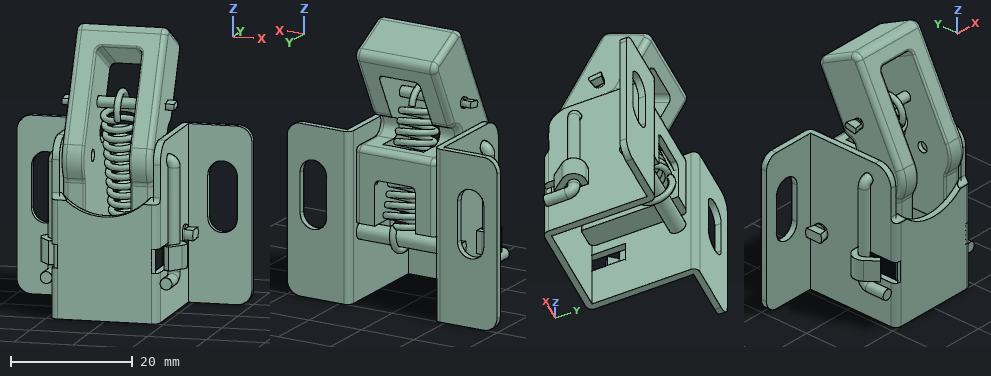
import cadquery as cq
import math


sheet = 1.2
flange_span = 40.0
housing_depth = 20.2
housing_height = 30.0
inner_width = 16.0
outer_half = inner_width / 2 + sheet
bend_radius = sheet
rear_bend_radius = 1.15
flange_corner_radius = 2.5
wall_corner_radius = 3.5
front_height = 20.0
front_step_radius = 1.0
scoop_radius = 10.0
scoop_depth = 2.45
slot_spacing = 30.0
slot_length = 12.0
slot_width = 5.0
slot_height = 18.0
plate_inner_y = sheet - housing_depth

wire_radius = 1.0
wire_bend = 1.2
wire_x = outer_half + wire_radius
wire_tip_x = 5.0
wire_foot_y = -19.1
wire_foot_z = 6.65
pivot_y = -14.0
pivot_z = 26.5

clip_bottom = 8.5
clip_height = 4.0
clip_outer_radius = wire_radius + sheet
clip_lead_angle = 38.5
clip_lead_length = 2.8
clip_window_end_y = -20.0

lever_tilt = 27.0
lever_width = 15.5
lever_x = (inner_width - lever_width) / 2
nose_radius = 6.0
arm_back = 4.1
arm_length = 21.12
arm_corner_radius = 1.5
lever_edge_radius = 1.0
lever_bottom = 14.0
jaw_top = 27.4
jaw_back_y = -1.4
jaw_tip_radius = 1.1
mouth_radius = 1.8
mouth_y = -7.5
lip_radius = 1.5
neck_radius = 1.5
lever_slot_width = 7.75
lever_slot_end = 17.0
lever_slot_corner = 1.0
lever_slot_edge = 0.35
web_bottom = 22.0
cut_margin = 2.0

lever_pin_y = -10.4
lever_pin_z = 34.85
lever_pin_radius = 0.95
lever_pin_shank = 15.6
lever_pin_length = 19.1
lever_pin_tail_radius = 1.2
lever_pin_tail_thickness = 1.1
lever_pin_roll = 10.0
anchor_pin_y = -3.55
anchor_pin_z = 12.05
anchor_pin_radius = 1.5
anchor_pin_shank = 19.0
anchor_pin_length = 22.1
anchor_pin_tail_radius = 1.77
anchor_pin_tail_thickness = 1.75

spring_wire_radius = 0.55
coil_radius = 3.05
coil_turns = 11.5
coil_end_gap = 1.84
lever_hook_reach = 1.75
anchor_hook_reach = 2.1
spring_web_gap = 0.3
spring_rise = lever_pin_z - anchor_pin_z
spring_lean = anchor_pin_y - lever_pin_y
spring_tilt = math.degrees(math.atan2(spring_lean, spring_rise))
spring_span = math.hypot(spring_lean, spring_rise)


def x_cylinder(radius, x_start, x_end, y, z):
    """Cylinder along X between two X positions."""
    plane = cq.Plane(origin=(x_start, y, z), xDir=(0, 1, 0), normal=(1, 0, 0))
    return cq.Workplane(plane).circle(radius).extrude(x_end - x_start)


def x_prism(x_start, x_end):
    """Sketch plane with axes Y and Z at the first X position, and the length to extrude from it."""
    return cq.Workplane("YZ", origin=(x_start, 0, 0)), x_end - x_start


def swaged_pin(radius, shank, length, tail_radius, tail_thickness, roll):
    """Round pin along X, centred on the origin, with both ends squeezed into flared flat tails."""
    pin = x_cylinder(radius, -shank / 2, shank / 2, 0, 0)
    tail_length = (length - shank) / 2
    slab = cq.Workplane("XY").box(length, 4 * tail_radius, tail_thickness)
    for side in (-1, 1):
        neck = cq.Plane(origin=(side * shank / 2, 0, 0), xDir=(0, 1, 0), normal=(side, 0, 0))
        cone = (
            cq.Workplane(neck)
            .circle(radius)
            .workplane(offset=tail_length)
            .circle(tail_radius)
            .loft()
        )
        pin = pin.union(cone.intersect(slab))
    return pin.rotate((0, 0, 0), (1, 0, 0), roll)


def sheet_block(width, depth):
    """Full-height block centred in X, whose rear face is at Y = 0."""
    block = cq.Workplane("XY").box(width, depth, housing_height, centered=(True, False, False))
    return block.translate((0, -depth, 0))


def bent_sheet():
    """Hat section extruded upwards: front plate, two walls and two rear flanges."""
    channel = sheet_block(2 * outer_half, housing_depth)
    channel = channel.edges("|Z and <Y").fillet(bend_radius)
    flanges = sheet_block(flange_span, sheet).edges("|Y").fillet(flange_corner_radius)
    cavity = sheet_block(inner_width, -plate_inner_y)
    body = channel.union(flanges).cut(cavity)
    for side in (-1, 1):
        rear_bend = cq.selectors.NearestToPointSelector(
            (side * inner_width / 2, 0, housing_height / 2)
        )
        body = body.edges("|Z").edges(rear_bend).fillet(rear_bend_radius)
    return body


def front_opening():
    """Removes the sheet in front of the walls above the front plate, with rounded transitions."""
    plane, width = x_prism(-outer_half - cut_margin, outer_half + cut_margin)
    front = -housing_depth - cut_margin
    step = (
        plane.moveTo(front, front_height)
        .lineTo(plate_inner_y - front_step_radius, front_height)
        .radiusArc((plate_inner_y, front_height + front_step_radius), -front_step_radius)
        .lineTo(plate_inner_y, housing_height - wall_corner_radius)
        .radiusArc((plate_inner_y + wall_corner_radius, housing_height), wall_corner_radius)
        .lineTo(plate_inner_y + wall_corner_radius, housing_height + cut_margin)
        .lineTo(front, housing_height + cut_margin)
        .close()
        .extrude(width)
    )
    scoop = (
        cq.Workplane("XZ", origin=(0, plate_inner_y, front_height - scoop_depth + scoop_radius))
        .circle(scoop_radius)
        .extrude(sheet)
    )
    return step.union(scoop)


def clip(side):
    """Strip that leaves the wall, wraps round the wire and leads back towards the wall."""
    angle = math.radians(clip_lead_angle)
    outward = (math.cos(angle), -math.sin(angle))
    along = (-math.sin(angle), -math.cos(angle))

    def wrap_point(radius, run=0.0):
        return (
            wire_x + radius * outward[0] + run * along[0],
            pivot_y + radius * outward[1] + run * along[1],
        )

    def mid_point(radius):
        middle = (math.pi / 2 - angle) / 2
        return (wire_x + radius * math.cos(middle), pivot_y + radius * math.sin(middle))

    root_x = inner_width / 2
    strip = (
        cq.Workplane("XY", origin=(0, 0, clip_bottom))
        .moveTo(root_x, pivot_y + clip_outer_radius)
        .lineTo(wire_x, pivot_y + clip_outer_radius)
        .threePointArc(mid_point(clip_outer_radius), wrap_point(clip_outer_radius))
        .lineTo(*wrap_point(clip_outer_radius, clip_lead_length))
        .lineTo(*wrap_point(wire_radius, clip_lead_length))
        .lineTo(*wrap_point(wire_radius))
        .threePointArc(mid_point(wire_radius), (wire_x, pivot_y + wire_radius))
        .lineTo(root_x, pivot_y + wire_radius)
        .close()
        .extrude(clip_height)
    )
    return strip if side > 0 else strip.mirror("YZ")


def clip_window(side):
    """Opening that the clip strip leaves in the wall and the front bend."""
    length = pivot_y + wire_radius - clip_window_end_y
    return cq.Workplane("XY").box(sheet, length, clip_height).translate(
        (
            side * (outer_half - sheet / 2),
            clip_window_end_y + length / 2,
            clip_bottom + clip_height / 2,
        )
    )


def make_housing():
    """Sheet-metal housing together with the anchor pin swaged into its walls."""
    body = bent_sheet().cut(front_opening())
    slots = (
        cq.Workplane("XZ", origin=(0, 0, slot_height))
        .pushPoints([(-slot_spacing / 2, 0), (slot_spacing / 2, 0)])
        .slot2D(slot_length, slot_width, 90)
        .extrude(sheet)
    )
    body = body.cut(slots)
    for side in (-1, 1):
        body = body.cut(clip_window(side)).union(clip(side)).cut(make_pivot_wire(side))
    anchor_pin = swaged_pin(
        anchor_pin_radius,
        anchor_pin_shank,
        anchor_pin_length,
        anchor_pin_tail_radius,
        anchor_pin_tail_thickness,
        0,
    )
    return body.union(anchor_pin.translate((0, anchor_pin_y, anchor_pin_z)))


def arm_point(across, along):
    """(Y, Z) of a point of the tilted arm, measured from the pivot across and along the arm."""
    tilt = math.radians(lever_tilt)
    return (
        pivot_y + across * math.cos(tilt) + along * math.sin(tilt),
        pivot_z - across * math.sin(tilt) + along * math.cos(tilt),
    )


def lever_blank():
    """Tilted arm, round nose about the pivot, upright leg and rear jaw, with rounded edges."""
    mouth_z = jaw_top + mouth_radius
    nose_drop = math.sqrt(nose_radius**2 - (plate_inner_y - pivot_y) ** 2)
    plane, width = x_prism(lever_x - lever_width / 2, lever_x + lever_width / 2)
    tilt = math.radians(lever_tilt)
    mouth_across = (mouth_y - pivot_y) * math.cos(tilt) - (mouth_z - pivot_z) * math.sin(tilt)
    mouth_along = (mouth_y - pivot_y) * math.sin(tilt) + (mouth_z - pivot_z) * math.cos(tilt)
    lip_along = mouth_along + math.sqrt(mouth_radius**2 - (arm_back - mouth_across) ** 2)
    blank = (
        plane.moveTo(*arm_point(-nose_radius, 0))
        .lineTo(*arm_point(-nose_radius, arm_length))
        .lineTo(*arm_point(arm_back, arm_length))
        .lineTo(*arm_point(arm_back, lip_along))
        .threePointArc(
            arm_point(mouth_across - mouth_radius, mouth_along), (mouth_y, jaw_top)
        )
        .lineTo(jaw_back_y, jaw_top)
        .lineTo(jaw_back_y, lever_bottom)
        .lineTo(plate_inner_y, lever_bottom)
        .lineTo(plate_inner_y, pivot_z - nose_drop)
        .threePointArc((pivot_y - nose_radius, pivot_z), arm_point(-nose_radius, 0))
        .close()
        .extrude(width)
    )

    def round_corner(body, point, radius):
        near = cq.selectors.NearestToPointSelector((lever_x, *point))
        return body.edges("|X").edges(near).fillet(radius)

    blank = round_corner(blank, arm_point(-nose_radius, arm_length), arm_corner_radius)
    blank = round_corner(blank, arm_point(arm_back, arm_length), arm_corner_radius)
    blank = round_corner(blank, arm_point(arm_back, lip_along), lip_radius)
    blank = round_corner(blank, (jaw_back_y, jaw_top), jaw_tip_radius)
    blank = round_corner(blank, (plate_inner_y, pivot_z - nose_drop), neck_radius)
    return blank.faces("<X or >X").edges("not <Z").fillet(lever_edge_radius)


def lever_slot():
    """Slot between the two arms; a web behind the spring is left standing under the mouth."""
    web_offset = (coil_radius + spring_wire_radius + spring_web_gap) / math.cos(
        math.radians(spring_tilt)
    )

    def web_y(z):
        axis_y = anchor_pin_y - (z - anchor_pin_z) * spring_lean / spring_rise
        return axis_y + web_offset

    floor = lever_bottom - cut_margin
    front = -housing_depth - cut_margin
    above_jaw = jaw_top + cut_margin / 2
    plane, width = x_prism(lever_x - lever_slot_width / 2, lever_x + lever_slot_width / 2)
    slot = (
        plane.moveTo(*arm_point(-nose_radius - cut_margin, lever_slot_end))
        .lineTo(*arm_point(arm_back + cut_margin, lever_slot_end))
        .lineTo(web_y(above_jaw), above_jaw)
        .lineTo(web_y(floor), floor)
        .lineTo(front, floor)
        .lineTo(front, pivot_z)
        .close()
        .extrude(width)
    )
    end_face = cq.selectors.NearestToPointSelector((lever_x, *arm_point(0, lever_slot_end)))
    slot = slot.faces(end_face).edges("not |X").fillet(lever_slot_corner)
    window_height = web_bottom - floor
    window = (
        cq.Workplane("XY")
        .box(lever_slot_width, -pivot_y, window_height)
        .edges("|Y and >Z")
        .fillet(lever_slot_corner)
        .translate((lever_x, pivot_y / 2, floor + window_height / 2))
    )
    return slot, window


def make_lever():
    slot, window = lever_slot()
    body = lever_blank().cut(slot)
    mouth_front = cq.selectors.NearestToPointSelector(
        (lever_x, *arm_point(-nose_radius, lever_slot_end))
    )
    body = body.edges(mouth_front).fillet(lever_slot_edge)
    body = body.cut(window)
    reach = inner_width / 2
    body = body.cut(x_cylinder(wire_radius, -reach, reach, pivot_y, pivot_z))
    return body.cut(make_lever_pin())


def make_lever_pin():
    pin = swaged_pin(
        lever_pin_radius,
        lever_pin_shank,
        lever_pin_length,
        lever_pin_tail_radius,
        lever_pin_tail_thickness,
        lever_pin_roll,
    )
    return pin.translate((0, lever_pin_y, lever_pin_z))


def make_pivot_wire(side):
    """Round wire: pivot stub into the lever, straight run through the clip, foot to the front."""
    diagonal = wire_bend * (1 - math.sqrt(0.5))
    path = (
        cq.Workplane("XZ", origin=(0, pivot_y, 0))
        .moveTo(wire_tip_x, pivot_z)
        .lineTo(wire_x - wire_bend, pivot_z)
        .threePointArc((wire_x - diagonal, pivot_z - diagonal), (wire_x, pivot_z - wire_bend))
        .lineTo(wire_x, wire_foot_z + wire_bend)
    )
    tip = cq.Workplane("YZ", origin=(wire_tip_x, pivot_y, pivot_z))
    upper = tip.circle(wire_radius).sweep(path)
    foot_path = (
        cq.Workplane("YZ", origin=(wire_x, 0, 0))
        .moveTo(pivot_y, wire_foot_z + wire_bend)
        .threePointArc(
            (pivot_y - diagonal, wire_foot_z + diagonal), (pivot_y - wire_bend, wire_foot_z)
        )
        .lineTo(wire_foot_y, wire_foot_z)
    )
    foot = (
        cq.Workplane("XY", origin=(wire_x, pivot_y, wire_foot_z + wire_bend))
        .circle(wire_radius)
        .sweep(foot_path)
    )
    wire = upper.union(foot)
    return wire if side > 0 else wire.mirror("YZ")


def spring_hook(reach):
    """Arc over a pin at the origin, in the YZ plane, joining both sides of a coil end below it."""
    centre = (reach**2 - coil_radius**2 - coil_end_gap**2) / (2 * (reach + coil_end_gap))
    path = (
        cq.Workplane("YZ")
        .moveTo(-coil_radius, -coil_end_gap)
        .threePointArc((0, reach), (coil_radius, -coil_end_gap))
    )
    tangent = (0, -coil_end_gap - centre, coil_radius)
    section = cq.Plane(
        origin=(0, -coil_radius, -coil_end_gap), xDir=(1, 0, 0), normal=tangent
    )
    return cq.Workplane(section).circle(spring_wire_radius).sweep(path)


def make_spring():
    """Coil with a hook at each end, built upright on the anchor pin and then leaned over."""
    coil_length = spring_span - 2 * coil_end_gap
    pitch = coil_length / coil_turns
    helix = cq.Wire.makeHelix(pitch, coil_length, coil_radius)
    coil = (
        cq.Workplane("XZ", origin=(coil_radius, 0, 0))
        .circle(spring_wire_radius)
        .sweep(cq.Workplane(helix), isFrenet=True)
        .rotate((0, 0, 0), (0, 0, 1), 90)
        .translate((0, 0, coil_end_gap))
    )
    upper_hook = spring_hook(lever_hook_reach).translate((0, 0, spring_span))
    lower_hook = spring_hook(anchor_hook_reach).rotate((0, 0, 0), (1, 0, 0), 180)
    spring = coil.union(upper_hook).union(lower_hook)
    spring = spring.rotate((0, 0, 0), (1, 0, 0), spring_tilt)
    return spring.translate((lever_x, anchor_pin_y, anchor_pin_z))


housing = make_housing()
lever = make_lever()
lever_pin = make_lever_pin()
pivot_wires = [make_pivot_wire(side) for side in (-1, 1)]
spring = make_spring()

result = cq.Compound.makeCompound(
    [
        housing.val(),
        lever.val(),
        lever_pin.val(),
        *[wire.val() for wire in pivot_wires],
        spring.val(),
    ]
)